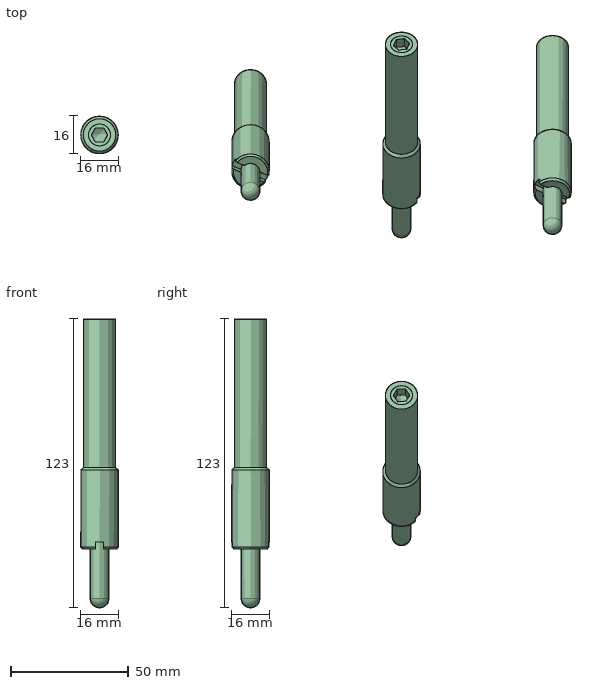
import cadquery as cq
import math

total_height = 123.0
pin_projection = 25.0
shoulder_height = 59.8

collar_diameter = 16.0
shank_diameter = 13.8
top_chamfer = (collar_diameter - shank_diameter) / 2
bottom_chamfer_width = 0.7
bottom_chamfer_height = 1.0
slot_width = 3.5
slot_depth = 3.1

pin_diameter = 8.0
head_diameter = 9.3
head_bottom = shoulder_height
hex_across_flats = 6.0
hex_depth = 4.9
drill_point_angle = 120.0


def cylinder(diameter, bottom, top):
    return cq.Workplane("XY").workplane(offset=bottom).circle(diameter / 2).extrude(top - bottom)


def make_pin_blank():
    """Head and shaft as plain cylinders; this is also the shape of the sleeve bore."""
    shaft = cylinder(pin_diameter, 0, head_bottom)
    head = cylinder(head_diameter, head_bottom, total_height)
    return shaft.union(head)


def make_hex_socket():
    """Hexagonal recess with corners on the X axis and a conical floor."""
    corner_diameter = hex_across_flats / math.cos(math.radians(30))
    cone_radius = corner_diameter / 2
    cone_height = cone_radius / math.tan(math.radians(drill_point_angle / 2))
    socket_floor = total_height - hex_depth
    prism = (
        cq.Workplane("XY")
        .workplane(offset=socket_floor - cone_height)
        .polygon(6, corner_diameter)
        .extrude(hex_depth + cone_height)
    )
    drilled_shape = (
        cq.Workplane("XZ")
        .moveTo(0, socket_floor - cone_height)
        .lineTo(cone_radius, socket_floor)
        .lineTo(cone_radius, total_height)
        .lineTo(0, total_height)
        .close()
        .revolve(360, (0, 0, 0), (0, 1, 0))
    )
    return prism.intersect(drilled_shape)


def make_pin():
    tip_radius = pin_diameter / 2
    round_tip = cq.Workplane("XY").sphere(tip_radius).translate((0, 0, tip_radius))
    square_tip = cylinder(pin_diameter, 0, tip_radius)
    return make_pin_blank().cut(square_tip).union(round_tip).cut(make_hex_socket())


def make_sleeve():
    collar_radius = collar_diameter / 2
    shank_radius = shank_diameter / 2
    outside = (
        cq.Workplane("XZ")
        .moveTo(0, pin_projection)
        .lineTo(collar_radius - bottom_chamfer_width, pin_projection)
        .lineTo(collar_radius, pin_projection + bottom_chamfer_height)
        .lineTo(collar_radius, shoulder_height - top_chamfer)
        .lineTo(shank_radius, shoulder_height)
        .lineTo(shank_radius, total_height)
        .lineTo(0, total_height)
        .close()
        .revolve(360, (0, 0, 0), (0, 1, 0))
    )
    slot = (
        cq.Workplane("XY")
        .workplane(offset=pin_projection)
        .rect(slot_width, collar_diameter)
        .extrude(slot_depth)
    )
    return outside.cut(make_pin_blank()).cut(slot)


sleeve = make_sleeve()
pin = make_pin()

result = cq.Compound.makeCompound([sleeve.val(), pin.val()])